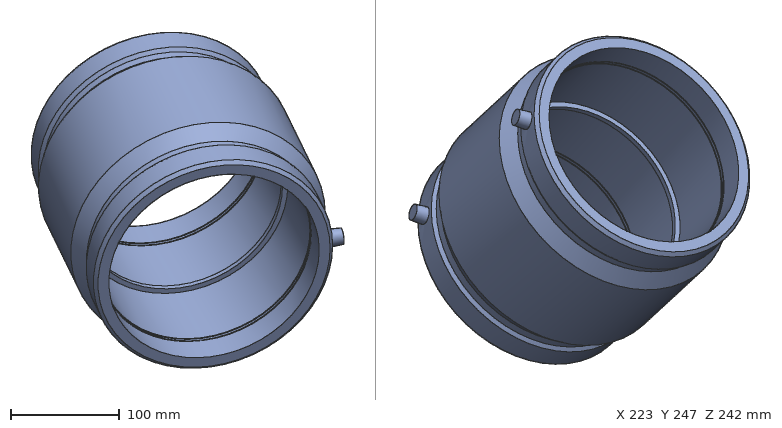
import cadquery as cq

length = 223.0
half_length = length / 2

body_diameter = 242.0
collar_diameter = 227.48
neck_diameter = 220.66

collar_start = 3.5
collar_end = 28.4
neck_start = 31.6
neck_end = 40.0
body_start = 55.5

bore_diameter = 200.0
stop_diameter = 190.0
stop_width = 5.0
groove_diameter = 201.6
groove_start = 28.5
groove_end = 32.3

stub_inset = 16.0
stub_tip_height = 126.0
stub_tip_diameter = 15.4
stub_base_diameter = 17.4
stub_embed_depth = 4.0


def mirrored_profile(stations):
    """Extend (inset, diameter) stations of the -X half to a full list of (x, radius) points."""
    left = [(inset - half_length, diameter / 2) for inset, diameter in stations]
    right = [(-x, radius) for x, radius in reversed(left)]
    return left + right


def make_sleeve():
    outside = mirrored_profile([
        (0, neck_diameter),
        (collar_start, collar_diameter),
        (collar_end, collar_diameter),
        (neck_start, neck_diameter),
        (neck_end, neck_diameter),
        (body_start, body_diameter),
    ])
    stop_start = (length - stop_width) / 2
    inside = mirrored_profile([
        (0, bore_diameter),
        (groove_start, bore_diameter),
        (groove_start, groove_diameter),
        (groove_end, groove_diameter),
        (groove_end, bore_diameter),
        (stop_start, bore_diameter),
        (stop_start, stop_diameter),
    ])
    section = cq.Workplane("XY").polyline(outside + inside[::-1]).close()
    return section.revolve(360, (0, 0, 0), (1, 0, 0))


def make_stub(x):
    """Slightly tapered round stub, rooted inside the collar wall."""
    root_height = collar_diameter / 2 - stub_embed_depth
    half_section = [
        (x, root_height),
        (x + stub_base_diameter / 2, root_height),
        (x + stub_tip_diameter / 2, stub_tip_height),
        (x, stub_tip_height),
    ]
    section = cq.Workplane("XY").polyline(half_section).close()
    return section.revolve(360, (x, 0, 0), (x, 1, 0))


result = make_sleeve()
for side in (-1, 1):
    result = result.union(make_stub(side * (half_length - stub_inset)))